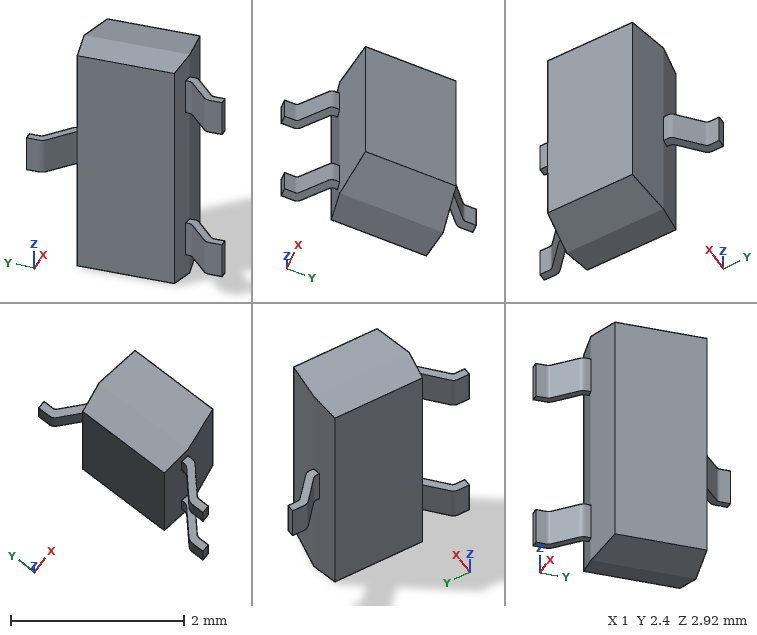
import cadquery as cq
import math

HOUSING_LENGTH = 2.92
HOUSING_WIDTH = 1.296
DRAFT_ANGLE = 8.0
STANDOFF = 0.05
PARTING_X = 0.425
TOTAL_HEIGHT = 1.0

LEAD_SPAN = 2.4
LEAD_WIDTH = 0.425
LEAD_THICKNESS = 0.1
LEAD_OFFSET_Z = 0.952
FOOT_CORNER_LENGTH = 0.201
SLOPE_ANGLE = 48.0
FOOT_OUTER_RADIUS = 0.105
FOOT_INNER_RADIUS = 0.058
SHOULDER_OUTER_RADIUS = 0.088
SHOULDER_INNER_RADIUS = 0.08

LEAD_PLACES = [(-1, -LEAD_OFFSET_Z), (-1, LEAD_OFFSET_Z), (1, 0.0)]


def make_housing_half(rectangle, depth):
    """Extrude a half from the parting plane, along the normal of the given workplane."""
    return rectangle.extrude(depth, taper=DRAFT_ANGLE)


def make_housing():
    parting_center = (PARTING_X, 0, 0)
    far_side = cq.Workplane("YZ", origin=parting_center).rect(HOUSING_WIDTH, HOUSING_LENGTH)
    foot_side = cq.Workplane("ZY", origin=parting_center).rect(HOUSING_LENGTH, HOUSING_WIDTH)
    far_half = make_housing_half(far_side, TOTAL_HEIGHT - PARTING_X)
    foot_half = make_housing_half(foot_side, PARTING_X - STANDOFF)
    return far_half.union(foot_half)


def make_lead(side, center_z):
    """Build a lead on the +Y side, ending flush on the drafted wall, then place it."""
    tip_y = LEAD_SPAN / 2
    shoulder_x = PARTING_X - LEAD_THICKNESS
    foot_outer_y = tip_y - FOOT_CORNER_LENGTH
    slope_run = shoulder_x / math.tan(math.radians(SLOPE_ANGLE))
    corner_shift = LEAD_THICKNESS * math.tan(math.radians(SLOPE_ANGLE / 2))
    shoulder_inner_y = foot_outer_y - slope_run
    wall_y = HOUSING_WIDTH / 2
    wall_setback = LEAD_THICKNESS * math.tan(math.radians(DRAFT_ANGLE))

    foot_outer = (0, foot_outer_y)
    shoulder_inner = (shoulder_x, shoulder_inner_y)
    shoulder_outer = (PARTING_X, shoulder_inner_y + corner_shift)
    foot_inner = (LEAD_THICKNESS, foot_outer_y + corner_shift)
    outline = [
        (0, tip_y),
        foot_outer,
        shoulder_inner,
        (shoulder_x, wall_y - wall_setback),
        (PARTING_X, wall_y),
        shoulder_outer,
        foot_inner,
        (LEAD_THICKNESS, tip_y),
    ]
    lead = cq.Workplane("XY").polyline(outline).close().extrude(LEAD_WIDTH / 2, both=True)

    bends = [
        (foot_outer, FOOT_OUTER_RADIUS),
        (shoulder_inner, SHOULDER_INNER_RADIUS),
        (shoulder_outer, SHOULDER_OUTER_RADIUS),
        (foot_inner, FOOT_INNER_RADIUS),
    ]
    for (x, y), radius in bends:
        lead = lead.edges(cq.NearestToPointSelector((x, y, 0))).fillet(radius)

    if side < 0:
        lead = lead.mirror("XZ")
    return lead.translate((0, 0, center_z))


housing = make_housing()
leads = [make_lead(side, center_z) for side, center_z in LEAD_PLACES]

result = cq.Compound.makeCompound([housing.val(), *[lead.val() for lead in leads]])